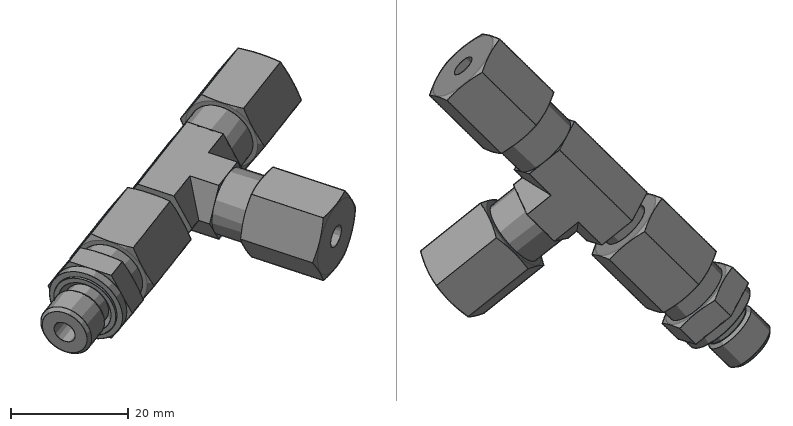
import cadquery as cq
import math


NUT_FLATS = 14.0
BODY_FLATS = 12.0

BODY_REACH = 9.0
BODY_TAIL = 9.45
COLLAR_DIAMETER = 12.0
BORE_DIAMETER = 4.0

NUT_START = 15.15
NUT_LENGTH = 14.5
NUT_CHAMFER_HEIGHT = 0.4
NUT_FACE_DIAMETER = 13.75

STUB_DIAMETER = 8.7
STUB_LENGTH = 2.2
STUD_COLLAR_LENGTH = 3.4
STUD_HEX_LENGTH = 4.5
FLANGE_LENGTH = 1.6
SEAL_DIAMETER = 11.85
SEAL_LENGTH = 0.45
SEAL_RECESS_DIAMETER = 10.0
SEAL_RECESS_DEPTH = 0.9
NECK_DIAMETER = 8.2
THREAD_DIAMETER = 9.7
THREAD_LENGTH = 6.0
THREAD_CHAMFER = 0.6

OVERALL_LENGTH = 73.2
RUN_END = NUT_START + NUT_LENGTH
STUD_END = OVERALL_LENGTH - RUN_END

STUD_NUT_START = BODY_TAIL + STUB_LENGTH
STUD_NUT_END = STUD_NUT_START + NUT_LENGTH
STUD_HEX_START = STUD_NUT_END + STUD_COLLAR_LENGTH
FLANGE_START = STUD_HEX_START + STUD_HEX_LENGTH
SEAL_START = FLANGE_START + FLANGE_LENGTH
SEAL_END = SEAL_START + SEAL_LENGTH
THREAD_START = STUD_END - THREAD_LENGTH

PLAIN_ARM = cq.Plane(origin=(0, 0, 0), xDir=(1, 0, 0), normal=(0, 1, 0))
STUD_ARM = cq.Plane(origin=(0, 0, 0), xDir=(1, 0, 0), normal=(0, -1, 0))
BRANCH_ARM = cq.Plane(origin=(0, 0, 0), xDir=(0, 1, 0), normal=(1, 0, 0))


def corner_diameter(flats):
    """Diameter across the corners of a hexagon."""
    return flats / math.cos(math.pi / 6)


def cylinder(arm, diameter, start, end):
    """Cylinder on an arm between two distances from the centre."""
    return cq.Workplane(arm).workplane(offset=start).circle(diameter / 2).extrude(end - start)


def hexagon(arm, flats, start, end):
    """Hexagonal prism on an arm, with corners in the XY plane."""
    base = cq.Workplane(arm).workplane(offset=start)
    return base.polygon(6, corner_diameter(flats)).extrude(end - start)


def turned(arm, outline):
    """Revolve an outline of (radius, distance along the arm) points about the arm."""
    half_section = cq.Plane(origin=(0, 0, 0), xDir=arm.xDir, normal=arm.xDir.cross(arm.zDir))
    return cq.Workplane(half_section).polyline(outline).close().revolve(360, (0, 0), (0, 1))


def nut(arm, start, end, chamfer_outer_end=True):
    """Hexagon with its corners turned to a cone on the inner end and, if asked, the outer end."""
    face_radius = NUT_FACE_DIAMETER / 2
    corner_radius = corner_diameter(NUT_FLATS) / 2
    outline = [(0, start), (face_radius, start), (corner_radius, start + NUT_CHAMFER_HEIGHT)]
    if chamfer_outer_end:
        outline += [(corner_radius, end - NUT_CHAMFER_HEIGHT), (face_radius, end)]
    else:
        outline += [(corner_radius, end)]
    outline += [(0, end)]
    return hexagon(arm, NUT_FLATS, start, end).intersect(turned(arm, outline))


def tube_arm(arm):
    """Body hexagon, collar and union nut of an arm that takes a tube."""
    body = hexagon(arm, BODY_FLATS, 0, BODY_REACH)
    collar = cylinder(arm, COLLAR_DIAMETER, BODY_REACH, NUT_START)
    return body.union(collar).union(nut(arm, NUT_START, RUN_END))


def thread_plug():
    """Threaded end of the stud, modelled plain at its outer diameter and chamfered at both ends."""
    plug = cylinder(STUD_ARM, THREAD_DIAMETER, THREAD_START, STUD_END)
    return plug.faces("<Y or >Y").chamfer(THREAD_CHAMFER)


def seal_recess():
    """Conical recess in the sealing face, narrowing from the seal down to the neck."""
    neck_radius = NECK_DIAMETER / 2
    recess_radius = SEAL_RECESS_DIAMETER / 2
    floor = SEAL_END - SEAL_RECESS_DEPTH
    return turned(STUD_ARM, [(neck_radius, floor), (recess_radius, SEAL_END), (neck_radius, SEAL_END)])


def stud_arm():
    """Body tail, stub, union nut and screw-in stud."""
    arm = hexagon(STUD_ARM, BODY_FLATS, 0, BODY_TAIL)
    arm = arm.union(cylinder(STUD_ARM, STUB_DIAMETER, BODY_TAIL, STUD_NUT_START))
    arm = arm.union(nut(STUD_ARM, STUD_NUT_START, STUD_NUT_END))
    arm = arm.union(cylinder(STUD_ARM, COLLAR_DIAMETER, STUD_NUT_END, STUD_HEX_START))
    arm = arm.union(nut(STUD_ARM, STUD_HEX_START, FLANGE_START, chamfer_outer_end=False))
    arm = arm.union(cylinder(STUD_ARM, NUT_FLATS, FLANGE_START, SEAL_START))
    arm = arm.union(cylinder(STUD_ARM, SEAL_DIAMETER, SEAL_START, SEAL_END))
    arm = arm.cut(seal_recess())
    arm = arm.union(cylinder(STUD_ARM, NECK_DIAMETER, SEAL_END, THREAD_START))
    return arm.union(thread_plug())


fitting = tube_arm(PLAIN_ARM).union(tube_arm(BRANCH_ARM)).union(stud_arm())

run_bore = cylinder(PLAIN_ARM, BORE_DIAMETER, -STUD_END, RUN_END)
branch_bore = cylinder(BRANCH_ARM, BORE_DIAMETER, 0, RUN_END)

result = fitting.cut(run_bore).cut(branch_bore)